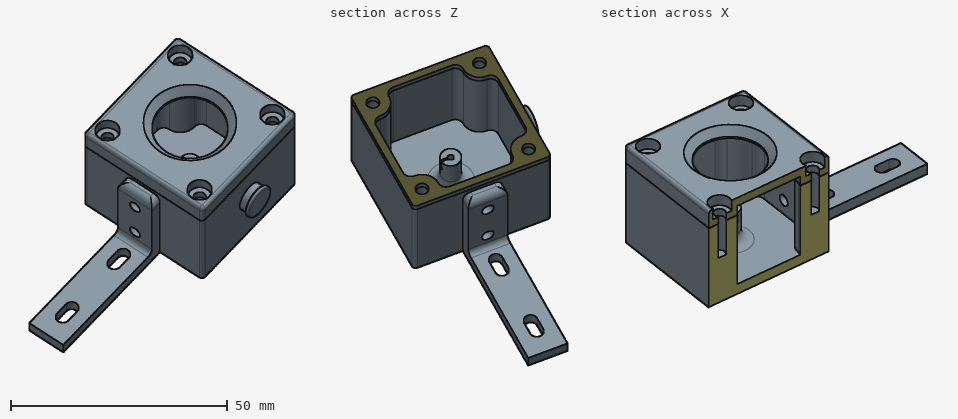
import cadquery as cq
import math

TOTAL_LENGTH = 71.0

SIDE = 35.0
HEIGHT = 28.0
COVER_HEIGHT = 5.0
HOUSING_HEIGHT = HEIGHT - COVER_HEIGHT
WALL = 2.0
FLOOR = 3.0
EDGE_RADIUS = 1.0

SCREW_INSET = 4.0
SCREW_OFFSET = SIDE / 2 - SCREW_INSET
SCREW_DIAMETER = 3.0
SCREW_DEPTH = 9.95
SCREW_HEAD_DIAMETER = 5.7
SCREW_HEAD_DEPTH = 3.0
BOSS_DIAMETER = 8.3
BOSS_RADIUS = BOSS_DIAMETER / 2
BOSS_INSIDE = SCREW_OFFSET - BOSS_RADIUS
CAVITY_HALF = SIDE / 2 - WALL
CAVITY_FILLET = CAVITY_HALF - SCREW_OFFSET

OPENING_DIAMETER = 17.5
OPENING_CHAMFER = 2.0
OPENING_LAND = 0.5
COVER_ROOF = OPENING_CHAMFER + OPENING_LAND

POST_DIAMETER = 5.0
POST_TOP = 12.0
POST_FILLET = 3.0
POST_HOLE_DIAMETER = 1.5
POST_SLOT_WIDTH = 0.5
POST_RECESS_DEPTH = 3.0

CONNECTOR_Z = HEIGHT / 2
CONNECTOR_LENGTH = 3.0
CONNECTOR_DIAMETER = 7.3
FLANGE_DIAMETER = 8.3
FLANGE_THICKNESS = 1.0
FLANGE_ROUND = 0.2
FLANGE_FILLET = (FLANGE_DIAMETER - CONNECTOR_DIAMETER) / 2 - FLANGE_ROUND

BRACKET_WIDTH = 10.0
BRACKET_THICKNESS = 3.0
BRACKET_HEIGHT = 22.0
BRACKET_LENGTH = TOTAL_LENGTH - SIDE
BRACKET_ROUND = 2.0
BRACKET_INNER_FILLET = 1.5
BRACKET_HOLE_DIAMETER = 3.0
BRACKET_HOLE_HEIGHTS = (6.95, 17.0)
SLOT_WIDTH = 3.3
SLOT_LENGTH = 6.5
SLOT_DISTANCES = (9.0, 28.2)


def square_block(height):
    """Square block on Z = 0 with rounded vertical edges."""
    block = cq.Workplane("XY").box(SIDE, SIDE, height, centered=(True, True, False))
    return block.edges("|Z").fillet(EDGE_RADIUS)


def turned(x, y, quarter_turns):
    """Point (x, y) turned about the Z axis by a number of quarter turns."""
    for _ in range(quarter_turns):
        x, y = -y, x
    return x, y


def cavity(bottom, top):
    """Square cavity that leaves a rounded boss, blended into the walls, in each corner."""
    wall_end = BOSS_INSIDE - CAVITY_FILLET
    blend_mid = CAVITY_FILLET * math.sqrt(0.5)
    boss_mid = SCREW_OFFSET - BOSS_RADIUS * math.sqrt(0.5)
    outline = cq.Workplane("XY").workplane(offset=bottom).moveTo(CAVITY_HALF, -wall_end)
    for turn in range(4):
        outline = (
            outline.lineTo(*turned(CAVITY_HALF, wall_end, turn))
            .threePointArc(
                turned(SCREW_OFFSET + blend_mid, wall_end + blend_mid, turn),
                turned(SCREW_OFFSET, BOSS_INSIDE, turn),
            )
            .threePointArc(
                turned(boss_mid, boss_mid, turn),
                turned(BOSS_INSIDE, SCREW_OFFSET, turn),
            )
            .threePointArc(
                turned(wall_end + blend_mid, SCREW_OFFSET + blend_mid, turn),
                turned(wall_end, CAVITY_HALF, turn),
            )
        )
    return outline.close().extrude(top - bottom)


def screw_holes(diameter, bottom, top):
    """Four cylinders on the screw axes."""
    corners = [(x * SCREW_OFFSET, y * SCREW_OFFSET) for x in (-1, 1) for y in (-1, 1)]
    plane = cq.Workplane("XY").workplane(offset=bottom)
    return plane.pushPoints(corners).circle(diameter / 2).extrude(top - bottom)


def bracket_screw_holes():
    """Cylinders along Y through the bracket and the -Y wall of the housing."""
    centres = [(0, z) for z in BRACKET_HOLE_HEIGHTS]
    plane = cq.Workplane("XZ", origin=(0, -CAVITY_HALF, 0))
    holes = plane.pushPoints(centres).circle(BRACKET_HOLE_DIAMETER / 2)
    return holes.extrude(WALL + BRACKET_THICKNESS)


def make_post():
    """Post with a flared foot, and a keyhole recess in its top."""
    radius = POST_DIAMETER / 2
    flare_mid = POST_FILLET * (1 - math.sqrt(0.5))
    post = (
        cq.Workplane("XZ")
        .moveTo(0, FLOOR)
        .lineTo(radius + POST_FILLET, FLOOR)
        .threePointArc(
            (radius + flare_mid, FLOOR + flare_mid),
            (radius, FLOOR + POST_FILLET),
        )
        .lineTo(radius, POST_TOP)
        .lineTo(0, POST_TOP)
        .close()
        .revolve(360, (0, 0, 0), (0, 1, 0))
    )
    plane = cq.Workplane("XY").workplane(offset=POST_TOP)
    hole = plane.circle(POST_HOLE_DIAMETER / 2).extrude(-POST_RECESS_DEPTH)
    slot = plane.center(-radius / 2, 0).rect(radius, POST_SLOT_WIDTH).extrude(-POST_RECESS_DEPTH)
    return post.cut(hole).cut(slot)


def make_connector():
    """Round stub with a rounded end flange, standing on the +X wall."""
    base = SIDE / 2
    end = base + CONNECTOR_LENGTH
    flange_start = end - FLANGE_THICKNESS
    stub_radius = CONNECTOR_DIAMETER / 2
    flange_radius = FLANGE_DIAMETER / 2
    blend_radius = stub_radius + FLANGE_FILLET
    profile = (
        cq.Workplane("XY")
        .moveTo(base, 0)
        .lineTo(base, stub_radius)
        .lineTo(flange_start - FLANGE_FILLET, stub_radius)
        .radiusArc((flange_start, blend_radius), -FLANGE_FILLET)
        .radiusArc((flange_start + FLANGE_ROUND, flange_radius), FLANGE_ROUND)
        .lineTo(end - FLANGE_ROUND, flange_radius)
        .radiusArc((end, flange_radius - FLANGE_ROUND), FLANGE_ROUND)
        .lineTo(end, 0)
        .close()
    )
    return profile.revolve(360, (0, 0, 0), (1, 0, 0)).translate((0, 0, CONNECTOR_Z))


def make_housing():
    """Open box with floor post, screw bosses and side connector."""
    screw_bottom = HOUSING_HEIGHT - SCREW_DEPTH
    return (
        square_block(HOUSING_HEIGHT)
        .cut(cavity(FLOOR, HOUSING_HEIGHT))
        .cut(screw_holes(SCREW_DIAMETER, screw_bottom, HOUSING_HEIGHT))
        .cut(bracket_screw_holes())
        .union(make_post())
        .union(make_connector())
    )


def make_cover():
    """Hollow lid with a chamfered round opening and four counterbored holes."""
    cover = square_block(COVER_HEIGHT).faces(">Z").edges().fillet(EDGE_RADIUS)
    cover = cover.translate((0, 0, HOUSING_HEIGHT))
    opening = cq.Workplane("XY").workplane(offset=HOUSING_HEIGHT)
    opening = opening.circle(OPENING_DIAMETER / 2).extrude(COVER_HEIGHT)
    chamfer_bottom = HEIGHT - OPENING_CHAMFER
    chamfer = cq.Workplane("XY").add(
        cq.Solid.makeCone(
            OPENING_DIAMETER / 2,
            OPENING_DIAMETER / 2 + OPENING_CHAMFER,
            OPENING_CHAMFER,
            cq.Vector(0, 0, chamfer_bottom),
        )
    )
    return (
        cover.cut(cavity(HOUSING_HEIGHT, HEIGHT - COVER_ROOF))
        .cut(opening)
        .cut(chamfer)
        .cut(screw_holes(SCREW_DIAMETER, HOUSING_HEIGHT, HEIGHT))
        .cut(screw_holes(SCREW_HEAD_DIAMETER, HEIGHT - SCREW_HEAD_DEPTH, HEIGHT))
    )


def make_bracket():
    """L-shaped bracket: upright against the -Y wall, slotted foot pointing to -Y."""
    wall_y = -SIDE / 2
    front_y = wall_y - BRACKET_THICKNESS
    foot_end = wall_y - BRACKET_LENGTH
    bracket = (
        cq.Workplane("YZ", origin=(-BRACKET_WIDTH / 2, 0, 0))
        .moveTo(wall_y, 0)
        .lineTo(wall_y, BRACKET_HEIGHT)
        .lineTo(front_y + BRACKET_ROUND, BRACKET_HEIGHT)
        .radiusArc((front_y, BRACKET_HEIGHT - BRACKET_ROUND), -BRACKET_ROUND)
        .lineTo(front_y, BRACKET_THICKNESS + BRACKET_INNER_FILLET)
        .radiusArc((front_y - BRACKET_INNER_FILLET, BRACKET_THICKNESS), BRACKET_INNER_FILLET)
        .lineTo(foot_end, BRACKET_THICKNESS)
        .lineTo(foot_end, 0)
        .close()
        .extrude(BRACKET_WIDTH)
    )
    front_outline = (
        cq.Workplane("XZ", origin=(0, wall_y, 0))
        .rect(BRACKET_WIDTH, 2 * BRACKET_HEIGHT)
        .extrude(BRACKET_LENGTH)
        .edges("|Y and >Z")
        .fillet(BRACKET_ROUND)
    )
    slots = (
        cq.Workplane("XY")
        .pushPoints([(0, wall_y - distance) for distance in SLOT_DISTANCES])
        .slot2D(SLOT_LENGTH, SLOT_WIDTH, 90)
        .extrude(BRACKET_THICKNESS)
    )
    return bracket.intersect(front_outline).cut(slots).cut(bracket_screw_holes())


housing = make_housing()
cover = make_cover()
bracket = make_bracket()
bodies = [body.solids().val() for body in (housing, cover, bracket)]
result = cq.Compound.makeCompound(bodies)